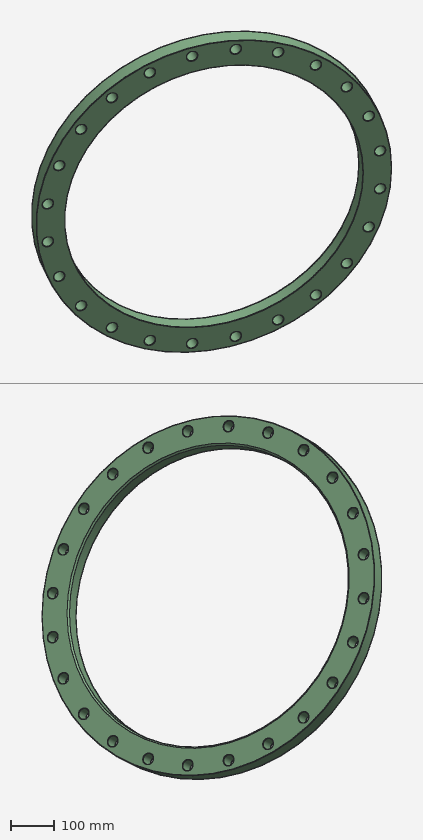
import cadquery as cq

outer_diameter = 860.0
bore_diameter = 721.0
thickness = 40.0

bolt_count = 24
bolt_circle_diameter = 810.0
bolt_hole_diameter = 26.0

bore_chamfer = 4.0
edge_break = 1.0

near_face = cq.Workplane("YZ", origin=(-thickness / 2, 0, 0))
smallest_circles = cq.selectors.RadiusNthSelector(0)
largest_circles = cq.selectors.RadiusNthSelector(-1)


def flange_ring():
    """Ring with chamfered bore ends and a broken rim edge on each face."""
    ring = near_face.circle(outer_diameter / 2).circle(bore_diameter / 2).extrude(thickness)
    ring = ring.faces("<X").edges(smallest_circles).chamfer(bore_chamfer)
    ring = ring.faces(">X").edges(smallest_circles).chamfer(edge_break)
    return ring.edges(largest_circles).chamfer(edge_break)


def add_bolt_holes(ring):
    """Drill the evenly spaced through holes and break their edges on both faces."""
    pitch_angle = 360.0 / bolt_count
    drills = (
        near_face
        .polarArray(bolt_circle_diameter / 2, pitch_angle / 2, 360, bolt_count)
        .circle(bolt_hole_diameter / 2)
        .extrude(thickness)
    )
    drilled_ring = ring.cut(drills)
    return drilled_ring.faces("<X or >X").edges(smallest_circles).chamfer(edge_break)


result = add_bolt_holes(flange_ring())